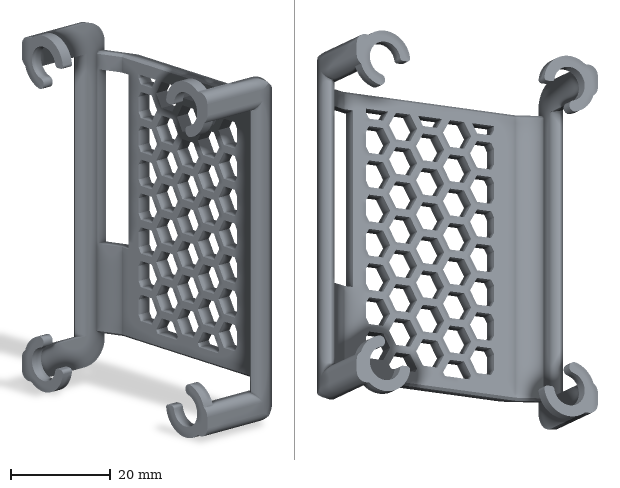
import cadquery as cq
import math

half_width = 27.49
depth = 23.0

rail_thickness = 2.805
rail_half_height = 36.1
arm_height = 6.5
web_front = 13.2
edge_round = 2.0
back_round = 5.0

plate_thickness = 3.0
flat_half_width = 17.6
wing_angle = math.radians(22.5)
wing_thickness = 2.0
plate_chamfer = 0.5

grille_margin = 3.0
hex_flats = 5.5
hex_pitch = 7.1
hex_side_columns = 2
hex_rows = 8

slot_left = -24.4
slot_top = 25.9
slot_length = 36.65

hook_x = 21.0
hook_z = 31.65
hook_outer_radius = 5.75
hook_inner_radius = 3.48
hook_thickness = 2.5
inner_tip_round = 0.7
lower_tip_round = 1.1

rail_inner = half_width - rail_thickness
window_half_height = rail_half_height - arm_height
plate_half_height = window_half_height
wing_slope = math.tan(wing_angle)
plate_front = depth - plate_thickness
hex_column_pitch = hex_pitch * math.sqrt(3) / 2
grille_half_width = flat_half_width - grille_margin
grille_half_height = plate_half_height - grille_margin


def wing_back(x):
    """Y of the rear wing surface at a distance x from the middle plane."""
    return depth - (x - flat_half_width) * wing_slope


def wing_front(x):
    """Y of the front wing surface at a distance x from the middle plane."""
    return wing_back(x) - wing_thickness / math.cos(wing_angle)


def make_plate():
    front_corner = flat_half_width + (wing_front(flat_half_width) - plate_front) / wing_slope
    right_side = [
        (front_corner, plate_front),
        (rail_inner, wing_front(rail_inner)),
        (rail_inner, wing_back(rail_inner)),
        (flat_half_width, depth),
    ]
    left_side = [(-x, y) for x, y in reversed(right_side)]
    outline = cq.Workplane("XY").polyline(right_side + left_side).close()
    plate = outline.extrude(plate_half_height, both=True)
    return plate.faces(">Z or <Z").edges("not(<X or >X)").chamfer(plate_chamfer)


def make_grille():
    """Hexagonal prisms in staggered columns, trimmed to a rectangular window."""
    top_row = grille_half_height - hex_flats / 2
    centers = []
    for column in range(-hex_side_columns, hex_side_columns + 1):
        stagger = 0 if column % 2 else hex_pitch / 2
        for row in range(hex_rows):
            centers.append((column * hex_column_pitch, top_row + stagger - row * hex_pitch))
    hex_diameter = hex_flats / math.cos(math.pi / 6)
    prisms = cq.Workplane("XZ").pushPoints(centers).polygon(6, hex_diameter).extrude(-depth)
    window = cq.Workplane("XZ").rect(2 * grille_half_width, 2 * grille_half_height).extrude(-depth)
    return prisms.intersect(window)


def make_slot():
    slot_width = -flat_half_width - slot_left
    slot = cq.Workplane("XY").box(slot_width, depth, slot_length, centered=False)
    return slot.translate((slot_left, 0, slot_top - slot_length))


def make_frame(inner_x, outer_x):
    """U-shaped slab, open to the front, between two X positions."""
    outline = [
        (0, rail_half_height),
        (depth, rail_half_height),
        (depth, -rail_half_height),
        (0, -rail_half_height),
        (0, -window_half_height),
        (web_front, -window_half_height),
        (web_front, window_half_height),
        (0, window_half_height),
    ]
    frame = cq.Workplane("YZ").polyline(outline).close().extrude(outer_x - inner_x)
    return frame.translate((inner_x, 0, 0))


def opening_edges(face):
    """Edges of a frame face that border the U-shaped opening."""
    margin = 0.1
    near_opening = cq.selectors.BoxSelector(
        (0, 0, -window_half_height - margin),
        (2 * half_width, web_front + margin, window_half_height + margin),
    )
    return face.edges(near_opening)


def make_rail():
    arc_center_x = half_width - back_round
    arc_start_x = arc_center_x + back_round * math.sin(wing_angle)
    arc_center_y = wing_back(arc_start_x) - back_round * math.cos(wing_angle)
    mid_angle = (math.pi / 2 - wing_angle) / 2
    arc_mid = (
        arc_center_x + back_round * math.cos(mid_angle),
        arc_center_y + back_round * math.sin(mid_angle),
    )
    section = (
        cq.Workplane("XY")
        .moveTo(0, 0)
        .lineTo(half_width, 0)
        .lineTo(half_width, arc_center_y)
        .threePointArc(arc_mid, (arc_start_x, wing_back(arc_start_x)))
        .lineTo(0, wing_back(0))
        .close()
    )
    rail = section.extrude(rail_half_height, both=True)

    slope_direction = cq.Vector(math.cos(wing_angle), -math.sin(wing_angle), 0)
    slope_plane = cq.Plane(
        origin=(0, wing_back(0), 0),
        xDir=(math.sin(wing_angle), math.cos(wing_angle), 0),
        normal=slope_direction,
    )
    reach = 3 * depth
    corner_envelope = (
        cq.Workplane(slope_plane)
        .center(-reach / 2, 0)
        .rect(reach, 2 * rail_half_height)
        .extrude(reach, both=True)
        .edges(cq.selectors.ParallelDirSelector(slope_direction))
        .fillet(back_round)
    )
    rail = rail.intersect(corner_envelope)

    outer_frame = make_frame(rail_inner, half_width)
    outer_frame = opening_edges(outer_frame.faces(">X")).fillet(edge_round)
    outer_frame = outer_frame.faces(">X").edges(">Z or <Z").fillet(edge_round)

    inner_frame = make_frame(rail_inner, half_width)
    inner_frame = opening_edges(inner_frame.faces("<X")).edges("|Z").edges(">Y").fillet(edge_round)
    return rail.intersect(outer_frame).intersect(inner_frame)


def make_hook():
    """Three-quarter ring for the upper +X corner, missing the quarter facing the plate center."""
    disc = cq.Workplane("XZ").center(hook_x, hook_z).circle(hook_outer_radius).extrude(-hook_thickness)
    foot = (
        cq.Workplane("XY")
        .box(half_width - hook_x, hook_thickness, arm_height, centered=False)
        .translate((hook_x, 0, window_half_height))
        .edges("|Y and >X")
        .fillet(edge_round)
    )
    hook = disc.union(foot)

    bore = cq.Workplane("XZ").center(hook_x, hook_z).circle(hook_inner_radius).extrude(-hook_thickness)
    missing_quarter = (
        cq.Workplane("XZ")
        .center(hook_x, hook_z)
        .rect(-hook_outer_radius, -hook_outer_radius, centered=False)
        .extrude(-hook_thickness)
    )
    hook = hook.cut(bore).cut(missing_quarter)

    mid_radius = (hook_outer_radius + hook_inner_radius) / 2
    inner_tip = (hook_x - mid_radius, hook_thickness / 2, hook_z)
    lower_tip = (hook_x, hook_thickness / 2, hook_z - mid_radius)
    for tip, radius in ((inner_tip, inner_tip_round), (lower_tip, lower_tip_round)):
        end_face = cq.selectors.NearestToPointSelector(tip)
        hook = hook.faces(end_face).edges("|Y").fillet(radius)
    return hook


plate = make_plate().cut(make_grille()).cut(make_slot())
upper_hook = make_hook()
right_side = make_rail().union(upper_hook).union(upper_hook.mirror("XY"))
result = plate.union(right_side).union(right_side.mirror("YZ"))